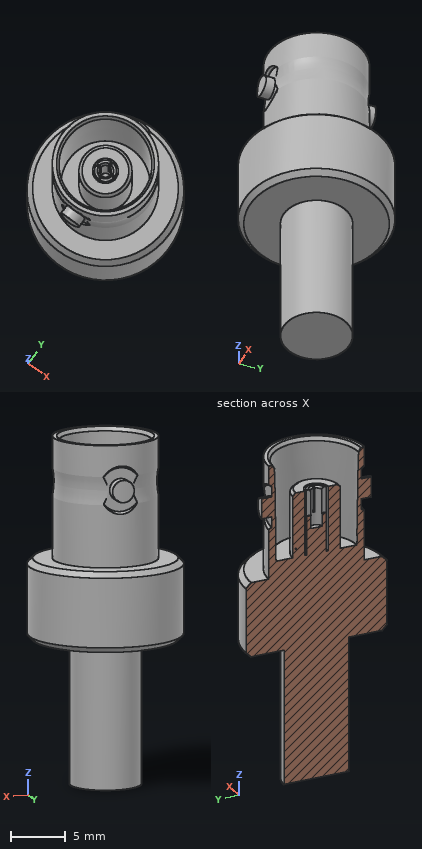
import cadquery as cq

total_height = 32.3
collar_bottom = 13.47
collar_top = 20.95

stem_radius = 3.3
collar_diameter = 14.3
collar_radius = collar_diameter / 2
collar_chamfer = 0.52

shell_radius = 4.85
shell_bore_mouth_radius = 4.23
shell_bore_floor_radius = 4.07
shell_floor = 22.6
lead_in_width = 0.23
lead_in_depth = 0.4

pin_height = 28.13
pin_radius = 1.03
pin_span = 11.08
recess_radius = 2.05
recess_wall_taper = 35.0
recess_floor_offset = 4.55
groove_depth = 0.135
groove_upper_width = 1.25
groove_lower_width = 1.35

insulator_top = 29.07
insulator_radius = 2.42
insulator_chamfer = 0.3
insulator_bore_radius = 1.15

contact_radius = 1.0
contact_hole_radius = 0.55
contact_hole_depth = 3.88
contact_lead_in = 0.2
slot_width = 0.15
slot_depth = 2.6


def cylinder(radius, bottom, top):
    return cq.Workplane("XY").workplane(offset=bottom).circle(radius).extrude(top - bottom)


def make_outer_body():
    stem = cylinder(stem_radius, 0, collar_bottom)
    collar = cylinder(collar_radius, collar_bottom, collar_top).edges().chamfer(collar_chamfer)
    shell = cylinder(shell_radius, collar_top, total_height)
    return stem.union(collar).union(shell)


def groove_arc_radius(width):
    """Radius of an arc that drops by the groove depth over the given width, ending vertical."""
    return (width**2 + groove_depth**2) / (2 * groove_depth)


def make_groove():
    """Shallow ring whose two arcs meet tangentially at the pin height."""
    waist_radius = shell_radius - groove_depth
    groove_top = pin_height + groove_upper_width
    groove_bottom = pin_height - groove_lower_width
    return (
        cq.Workplane("XZ")
        .moveTo(shell_radius, groove_bottom)
        .lineTo(shell_radius, groove_top)
        .radiusArc((waist_radius, pin_height), -groove_arc_radius(groove_upper_width))
        .radiusArc((shell_radius, groove_bottom), -groove_arc_radius(groove_lower_width))
        .close()
        .revolve(360, (0, 0, 0), (0, 1, 0))
    )


def make_pin_recess(side):
    """Flat-bottomed round recess around one pin, widening as it leaves the shell."""
    return (
        cq.Workplane("XZ", origin=(0, side * recess_floor_offset, pin_height))
        .circle(recess_radius)
        .extrude(-side * (collar_radius - recess_floor_offset), taper=-recess_wall_taper)
    )


def make_pins():
    """Pins on both sides of the shell, with ends rounded about the main axis."""
    bar = (
        cq.Workplane("XZ", origin=(0, 0, pin_height))
        .circle(pin_radius)
        .extrude(collar_radius, both=True)
    )
    return bar.intersect(cylinder(pin_span / 2, collar_top, total_height))


def make_shell_bore():
    mouth_bottom = total_height - lead_in_depth
    return (
        cq.Workplane("XZ")
        .moveTo(0, shell_floor)
        .lineTo(shell_bore_floor_radius, shell_floor)
        .lineTo(shell_bore_mouth_radius, mouth_bottom)
        .lineTo(shell_bore_mouth_radius + lead_in_width, total_height)
        .lineTo(0, total_height)
        .close()
        .revolve(360, (0, 0, 0), (0, 1, 0))
    )


def make_insulator():
    return (
        cylinder(insulator_radius, shell_floor, insulator_top)
        .faces(">Z")
        .chamfer(insulator_chamfer)
        .cut(cylinder(insulator_bore_radius, shell_floor, insulator_top))
    )


def make_contact():
    hole_bottom = insulator_top - contact_hole_depth
    contact = (
        cylinder(contact_radius, shell_floor, insulator_top)
        .cut(cylinder(contact_hole_radius, hole_bottom, insulator_top))
    )
    lead_in = (
        cq.Workplane("XY", origin=(0, 0, insulator_top))
        .circle(contact_hole_radius + contact_lead_in)
        .workplane(offset=-contact_lead_in)
        .circle(contact_hole_radius)
        .loft()
    )
    contact = contact.cut(lead_in)
    slot = cq.Workplane("XY", origin=(0, 0, insulator_top - slot_depth / 2))
    for length_x, length_y in ((2 * contact_radius, slot_width), (slot_width, 2 * contact_radius)):
        contact = contact.cut(slot.box(length_x, length_y, slot_depth))
    return contact


result = make_outer_body().cut(make_groove())
for side in (-1, 1):
    result = result.cut(make_pin_recess(side))
result = result.union(make_pins()).cut(make_shell_bore())
result = result.union(make_insulator()).union(make_contact())